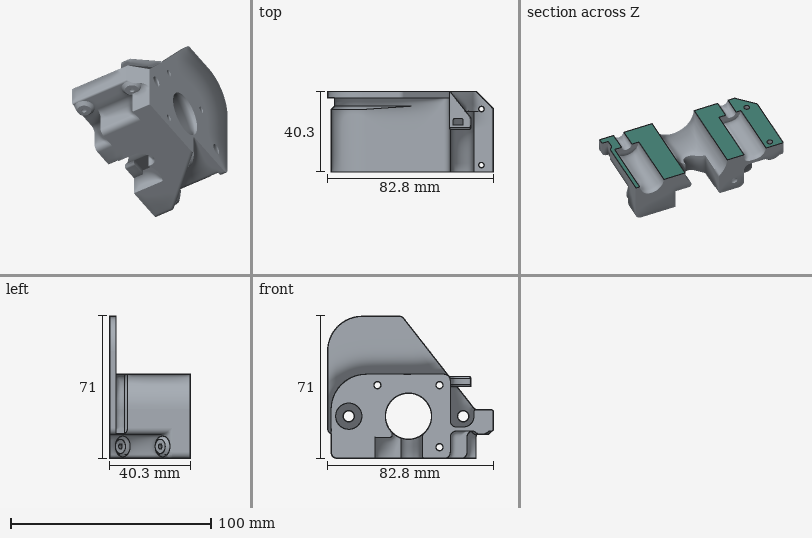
import cadquery as cq
import math

width = 82.8
depth = 40.25
height = 71.0
edge_round = 3.0
small_round = 1.0
large_round = 17.5
overrun = 8.3

block_left = 1.8
block_right = 61.3
block_top = 42.0

plate_thickness = 3.2
plate_front = depth - plate_thickness
plate_flat_end = 37.2
slope_ratio = 1.28

bore_x = 40.4
axis_z = 21.0
bore_diameter = 22.95
screw_pitch = 31.0
screw_diameter = 3.4
rod_hole_diameter = 5.5
left_rod_x = 10.6
right_rod_x = 67.75
rod_bore_diameter = 13.1
seat_y = 30.3

arm_bottom = 13.6
arm_top = 24.3
pocket_floor = 15.65
pocket_radius = axis_z - pocket_floor
arm_hole_x = 76.9
arm_hole_ys = (3.5, 31.5)
arm_hole_diameter = 2.6
arm_chamfer = 8.5
foot_round = 0.25
steps = ((block_right, 0.0, edge_round), (69.7, 8.6, edge_round), (74.2, seat_y, foot_round))

lip_depth = 5.4
lip_left = 23.7
lip_ceiling = 10.5
tooth_x = 32.3
slot_bore_round = 2.0
slot_left = 36.6
slot_right = 47.5
slot_wall_end = 16.4
slot_end_radius = 3.8
hollow_x = 29.8
hollow_radius = 12.9
hollow_ceiling = 13.25

recess_ceiling = 12.0
recess_start = 9.5
recess_corner_round = 1.8
recess_inner_round = 1.5
boss_base_diameter = 10.4
boss_height = 1.65
boss_hole_diameter = 2.5
boss_hole_depth = 8.3
boss_z = 6.0
boss_ys = (13.8, 33.7)

groove_depth = 1.6
groove_front = 32.9
groove_end_x = 41.7

tab_left = 61.0
tab_bottom = 35.8
tab_top = 40.9
tab_front = 21.3
tab_right = 71.6
tab_side_end = 27.1
tab_tip_x = 61.5
tab_tip_y = 39.9
tab_chamfer = 1.0
tab_slot_left = 62.7
tab_slot_width = 5.05
tab_slot_front = 23.5
tab_slot_length = 3.2


def extrude_y(points, y_start, y_end):
    """Prism of an X-Z outline between two Y positions."""
    plane = cq.Workplane("XZ", origin=(0, y_start, 0))
    return plane.polyline(points).close().extrude(y_start - y_end)


def rod_y(x, z, diameter, y_start, y_end):
    """Cylinder along Y."""
    plane = cq.Workplane("XZ", origin=(x, y_start, z))
    return plane.circle(diameter / 2).extrude(y_start - y_end)


def edge_at(x, y, z, reach_x=0.1, reach_y=0.1, reach_z=0.1):
    """Selects the edges whose middle lies within reach of a point."""
    low = (x - reach_x, y - reach_y, z - reach_z)
    high = (x + reach_x, y + reach_y, z + reach_z)
    return cq.selectors.BoxSelector(low, high)


def round_y_edge(solid, x, z, radius):
    """Rounds the edges along Y that pass through (x, z)."""
    return solid.edges("|Y").edges(edge_at(x, 0, z, reach_y=width)).fillet(radius)


def main_block():
    outline = [(block_left, 0), (block_right, 0), (block_right, block_top), (block_left, block_top)]
    block = extrude_y(outline, 0, depth)
    block = round_y_edge(block, block_left, block_top, large_round)
    block = round_y_edge(block, block_right, block_top, edge_round)
    block = round_y_edge(block, block_right, 0, edge_round)
    return round_y_edge(block, block_left, 0, edge_round)


def recess_cutter():
    wall_offset = recess_start - block_left
    start = block_left - overrun
    end = depth + overrun
    outline = [(start, start + wall_offset), (end - wall_offset, end), (start, end)]
    return (cq.Workplane("XY", origin=(0, 0, -overrun)).polyline(outline).close()
            .extrude(overrun + recess_ceiling))


def with_recess(block):
    """Cuts the recess and rounds the edges it leaves."""
    block = block.cut(recess_cutter())
    side_middle = (recess_start + depth) / 2
    corner = edge_at(block_left, recess_start, axis_z / 2, reach_z=axis_z / 2)
    block = block.edges("|Z").edges(corner).fillet(recess_corner_round)
    side_edge = edge_at(block_left, side_middle, recess_ceiling, reach_y=edge_round)
    block = block.edges("|Y").edges(side_edge).fillet(edge_round)
    inner_edge = edge_at(side_middle - recess_start + block_left, side_middle, recess_ceiling,
                         reach_x=edge_round, reach_y=edge_round)
    return block.edges("not |Y").edges(inner_edge).fillet(recess_inner_round)


def groove_cutter():
    arc_x = block_left + large_round
    arc_z = block_top - large_round
    radius = large_round - groove_depth
    run = groove_end_x - arc_x
    slope = math.acos(radius / math.hypot(run, large_round)) - math.atan2(run, large_round)
    tangent = (arc_x - radius * math.sin(slope), arc_z + radius * math.cos(slope))
    middle_angle = (math.pi / 2 + slope + math.pi) / 2
    arc_middle = (arc_x + radius * math.cos(middle_angle), arc_z + radius * math.sin(middle_angle))
    left = block_left + groove_depth
    far_z = tangent[1] + (block_right - tangent[0]) * math.tan(slope)

    def core(y):
        return (cq.Workplane("XZ", origin=(0, y, 0))
                .moveTo(left, -overrun).lineTo(left, arc_z)
                .threePointArc(arc_middle, tangent)
                .lineTo(block_right, far_z).lineTo(block_right, -overrun).close())

    cone_length = groove_depth + small_round
    straight = core(plate_front).extrude(plate_front - groove_front)
    flared = core(groove_front).extrude(cone_length, taper=-45)
    ring = cq.Workplane("XY").box(
        block_right, plate_front - groove_front + cone_length, 2 * height, centered=False)
    ring = ring.translate((0, groove_front - cone_length, -height / 2))
    return ring.cut(straight).cut(flared)


def boss(y):
    """Tapered boss with a blind hole, square to the slanted recess wall."""
    wall = cq.Plane(origin=(y - recess_start + block_left, y, boss_z),
                    xDir=(0, 0, 1), normal=(-1, 1, 0))
    cone = cq.Workplane(wall).circle(boss_base_diameter / 2).extrude(boss_height, taper=45)
    hole = (cq.Workplane(wall).workplane(offset=boss_height)
            .circle(boss_hole_diameter / 2).extrude(-boss_height - boss_hole_depth))
    return cone, hole


def back_plate():
    slope_end = plate_flat_end + (height - arm_top) / slope_ratio
    outline = [(0, recess_ceiling), (0, height), (plate_flat_end, height),
               (slope_end, arm_top), (arm_hole_x, arm_top), (arm_hole_x, arm_bottom),
               (bore_x, arm_bottom), (bore_x, recess_ceiling)]
    plate = extrude_y(outline, seat_y, depth)
    plate = round_y_edge(plate, 0, recess_ceiling, edge_round)
    plate = round_y_edge(plate, 0, height, large_round)
    plate = round_y_edge(plate, plate_flat_end, height, edge_round)
    plate = round_y_edge(plate, slope_end, arm_top, edge_round)
    thinning = cq.Workplane("XY").box(
        block_right, plate_front - seat_y, height, centered=False).translate((0, seat_y, 0))
    return plate.cut(thinning)


def arm():
    outline = [(bore_x, arm_bottom), (width, arm_bottom), (width, arm_top), (bore_x, arm_top)]
    body = extrude_y(outline, 0, depth)
    body = round_y_edge(body, width, arm_bottom, small_round)
    body = round_y_edge(body, width, arm_top, small_round)
    for y in arm_hole_ys:
        cone = (cq.Workplane("XY", origin=(arm_hole_x, y, arm_bottom))
                .circle(boss_base_diameter / 2).extrude(-boss_height, taper=45))
        body = body.union(cone)
    front_trim = cq.Workplane("XY").box(width, overrun, height, centered=False)
    return body.cut(front_trim.translate((0, -overrun, 0)))


def arm_pocket():
    cut_right = right_rod_x + pocket_radius
    cutter = (cq.Workplane("XZ").moveTo(block_right, height).lineTo(block_right, pocket_floor)
              .lineTo(right_rod_x, pocket_floor)
              .radiusArc((cut_right, axis_z), -pocket_radius)
              .lineTo(cut_right, arm_top)
              .lineTo(cut_right, height).close().extrude(-seat_y))
    return round_y_edge(cutter, block_right, pocket_floor, edge_round)


def lower_step(right, front, bottom_round):
    """Foot under the arm, blended into the underside of the arm."""
    reach = right + edge_round + small_round
    outline = [(bore_x, 0), (right, 0), (right, arm_bottom), (reach, arm_bottom),
               (reach, pocket_floor), (bore_x, pocket_floor)]
    step = extrude_y(outline, front, depth)
    step = round_y_edge(step, right, arm_bottom, edge_round)
    return round_y_edge(step, right, 0, bottom_round)


def lip_opening():
    outline = [(lip_left, -overrun), (lip_left, lip_ceiling), (tooth_x, lip_ceiling),
               (tooth_x, axis_z), (slot_right, axis_z), (slot_right, -overrun)]
    return extrude_y(outline, 0, lip_depth)


def hollow():
    """Round hollow behind the lip, open towards the slot."""
    round_part = (cq.Workplane("XY", origin=(hollow_x, lip_depth, 0))
                  .circle(hollow_radius).extrude(hollow_ceiling))
    window = cq.Workplane("XY").box(
        slot_right - lip_left, depth, hollow_ceiling, centered=False)
    return round_part.intersect(window.translate((lip_left, lip_depth, 0)))


def deep_slot():
    diagonal = slot_end_radius * math.sqrt(0.5)
    end_x = slot_left + slot_end_radius
    touch_x = end_x + diagonal
    touch_y = slot_wall_end + slot_right - touch_x
    end_y = touch_y - diagonal
    arc_angle = math.radians(112.5)
    arc_middle = (end_x + slot_end_radius * math.cos(arc_angle),
                  end_y + slot_end_radius * math.sin(arc_angle))
    return (cq.Workplane("XY").moveTo(slot_left, lip_depth).lineTo(slot_right, lip_depth)
            .lineTo(slot_right, slot_wall_end).lineTo(touch_x, touch_y)
            .threePointArc(arc_middle, (slot_left, end_y)).close().extrude(axis_z))


def tab():
    outline = [(tab_left, tab_front), (tab_right, tab_front), (tab_right, tab_side_end),
               (tab_tip_x, tab_tip_y), (tab_left, tab_tip_y)]
    body = (cq.Workplane("XY", origin=(0, 0, tab_bottom)).polyline(outline).close()
            .extrude(tab_top - tab_bottom))
    body = body.faces("<Y").edges("|X").chamfer(tab_chamfer)
    end_edges = cq.selectors.BoxSelector(
        (tab_right - 0.1, tab_front - 0.1, tab_bottom + 0.1),
        (tab_right + 0.1, tab_side_end - 0.1, tab_top + 0.1))
    slant_edge = edge_at((tab_right + tab_tip_x) / 2, (tab_side_end + tab_tip_y) / 2, tab_top)
    body = body.edges(end_edges + slant_edge).fillet(small_round)
    slot = cq.Workplane("XY").box(tab_slot_width, tab_slot_length, height, centered=False)
    slot = slot.edges("|Z and >Y").fillet(small_round)
    return body, slot.translate((tab_slot_left, tab_slot_front, tab_bottom))


result = with_recess(main_block()).cut(groove_cutter())
result = result.union(back_plate()).union(arm()).cut(arm_pocket())
result = round_y_edge(result, right_rod_x + pocket_radius, arm_top, small_round)
for step_right, step_front, step_round in steps:
    result = result.union(lower_step(step_right, step_front, step_round))

tab_body, tab_slot = tab()
result = result.union(tab_body)
root_edge = edge_at(block_right, seat_y, tab_bottom, reach_x=overrun)
result = result.edges("|X").edges(root_edge).fillet(small_round).cut(tab_slot)

for boss_y in boss_ys:
    boss_cone, boss_hole = boss(boss_y)
    result = result.union(boss_cone).cut(boss_hole)

result = result.cut(rod_y(bore_x, axis_z, bore_diameter, 0, depth)).cut(lip_opening())
bore_meets_slot = axis_z - math.sqrt((bore_diameter / 2) ** 2 - (slot_right - bore_x) ** 2)
result = round_y_edge(result, tooth_x, lip_ceiling, small_round)
result = round_y_edge(result, slot_right, 0, small_round)
result = round_y_edge(result, slot_right, bore_meets_slot, slot_bore_round)
result = result.cut(hollow()).cut(deep_slot())

for side_x, side_z in ((-1, 1), (1, 1), (1, -1)):
    screw_x = bore_x + side_x * screw_pitch / 2
    screw_z = axis_z + side_z * screw_pitch / 2
    result = result.cut(rod_y(screw_x, screw_z, screw_diameter, 0, depth))

result = result.cut(rod_y(left_rod_x, axis_z, rod_bore_diameter, 0, seat_y))
for rod_x in (left_rod_x, right_rod_x):
    result = result.cut(rod_y(rod_x, axis_z, rod_hole_diameter, seat_y, depth))

for arm_hole_y in arm_hole_ys:
    arm_hole = (cq.Workplane("XY", origin=(arm_hole_x, arm_hole_y, 0))
                .circle(arm_hole_diameter / 2).extrude(height))
    result = result.cut(arm_hole)

corner_cutter = (cq.Workplane("XY").moveTo(width, depth).lineTo(width - arm_chamfer, depth)
                 .lineTo(width, depth - arm_chamfer).close().extrude(height))
result = result.cut(corner_cutter)